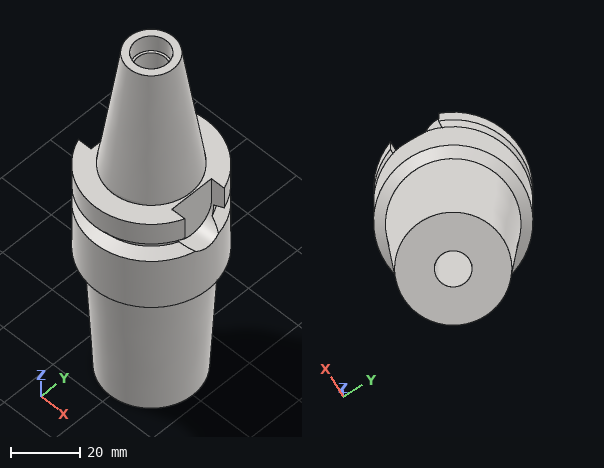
import cadquery as cq

total_height = 138.4
taper_length = 48.5
collar_length = 1.0
gauge_z = total_height - taper_length
flange_top_z = gauge_z - collar_length

taper_small_radius = 8.9
taper_large_radius = 15.8

flange_radius = 23.0
groove_radius = 19.1
upper_rim_height = 8.7
groove_slope_height = 2.2
groove_floor_height = 3.3
lower_rim_height = 20.5
lower_chamfer_height = 2.2
upper_rim_bottom_z = flange_top_z - upper_rim_height
groove_top_z = upper_rim_bottom_z - groove_slope_height
groove_bottom_z = groove_top_z - groove_floor_height
lower_rim_top_z = groove_bottom_z - groove_slope_height
lower_rim_bottom_z = lower_rim_top_z - lower_rim_height
nose_top_z = lower_rim_bottom_z - lower_chamfer_height

nose_top_radius = 19.5
nose_end_radius = 16.9

through_radius = 5.4
counterbore_radius = 6.2
counterbore_depth = 6.5

slot_width = 16.2
slot_floor_x = 16.3
slot_depth = 18.0


def make_body():
    """Revolve the outer profile about Z."""
    return (
        cq.Workplane("XZ")
        .moveTo(0, 0)
        .lineTo(nose_end_radius, 0)
        .lineTo(nose_top_radius, nose_top_z)
        .lineTo(flange_radius, lower_rim_bottom_z)
        .lineTo(flange_radius, lower_rim_top_z)
        .lineTo(groove_radius, groove_bottom_z)
        .lineTo(groove_radius, groove_top_z)
        .lineTo(flange_radius, upper_rim_bottom_z)
        .lineTo(flange_radius, flange_top_z)
        .lineTo(taper_large_radius, flange_top_z)
        .lineTo(taper_large_radius, gauge_z)
        .lineTo(taper_small_radius, total_height)
        .lineTo(0, total_height)
        .close()
        .revolve(360, (0, 0, 0), (0, 1, 0))
    )


def make_bore():
    """Through hole with a wider bore at the small end of the taper."""
    through_hole = cq.Workplane("XY").circle(through_radius).extrude(total_height)
    counterbore = (
        cq.Workplane("XY", origin=(0, 0, total_height))
        .circle(counterbore_radius)
        .extrude(-counterbore_depth)
    )
    return through_hole.union(counterbore)


def make_drive_slot(side):
    """Round-bottomed slot cutter; side is -1 for -X and +1 for +X."""
    half_width = slot_width / 2
    slot_bottom_z = flange_top_z - slot_depth
    arc_center_z = slot_bottom_z + half_width
    return (
        cq.Workplane("YZ", origin=(side * slot_floor_x, 0, 0))
        .moveTo(-half_width, flange_top_z)
        .lineTo(-half_width, arc_center_z)
        .threePointArc((0, slot_bottom_z), (half_width, arc_center_z))
        .lineTo(half_width, flange_top_z)
        .close()
        .extrude(side * flange_radius)
    )


result = make_body().cut(make_bore())
for side in (-1, 1):
    result = result.cut(make_drive_slot(side))